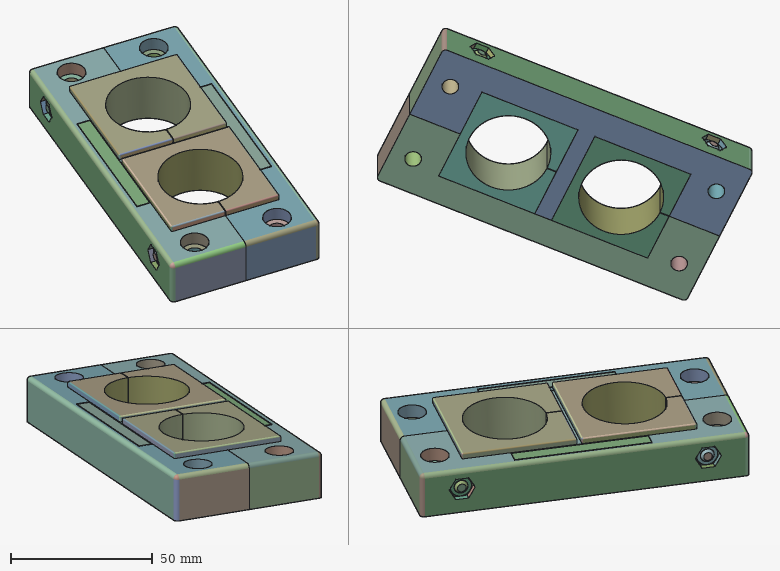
import cadquery as cq
import math

frame_length = 120.0
frame_width = 58.0
frame_height = 16.9
frame_round = 1.5

total_height = 19.0
grommet_offset = 21.8
grommet_body = 37.2
flange_size = 42.0
flange_round = 0.5
bore_diameter = 30.0
slit_width = 0.2

mount_spacing_x = 103.0
mount_spacing_y = 32.0
mount_diameter = 5.9
counterbore_diameter = 10.1
counterbore_depth = 5.0

label_length = 50.0
label_width = 5.0
label_depth = 0.2
label_offset = 23.6

screw_offset = 44.9
screw_height = 9.5
screw_diameter = 5.0
screw_length = 43.2
screw_chamfer = 1.0
screw_inset = 0.6
nut_flats = 8.0
nut_thickness = 4.0
nut_face_diameter = 7.7
nut_cone_angle = 30
nut_inset = 1.8
pocket_flats = 8.2

front_face = -frame_width / 2
flange_thickness = total_height - frame_height
hex_corner_ratio = 2 / math.sqrt(3)
mirror_sides = (-1, 1)


def cylinder_along_y(diameter, length, x, start_y):
    """Cylinder that runs from start_y toward +Y at the screw height."""
    return (
        cq.Workplane("XZ", origin=(x, start_y, screw_height))
        .circle(diameter / 2)
        .extrude(-length)
    )


def hex_along_y(flats, length, x, start_y):
    """Hexagonal prism, flats up and down, that runs from start_y toward +Y."""
    return (
        cq.Workplane("XZ", origin=(x, start_y, screw_height))
        .polygon(6, flats * hex_corner_ratio)
        .extrude(-length)
    )


def make_frame_block():
    """Both frame halves as one block, with every hole and recess."""
    block = (
        cq.Workplane("XY")
        .box(frame_length, frame_width, frame_height, centered=(True, True, False))
        .edges("|Z or >Z")
        .fillet(frame_round)
    )
    openings = (
        cq.Workplane("XY")
        .pushPoints([(side * grommet_offset, 0) for side in mirror_sides])
        .rect(grommet_body, grommet_body)
        .extrude(frame_height)
    )
    labels = (
        cq.Workplane("XY", origin=(0, 0, frame_height - label_depth))
        .pushPoints([(0, side * label_offset) for side in mirror_sides])
        .rect(label_length, label_width)
        .extrude(label_depth)
    )
    block = (
        block.cut(openings)
        .cut(labels)
        .faces(">Z")
        .workplane(origin=(0, 0, frame_height))
        .rect(mount_spacing_x, mount_spacing_y, forConstruction=True)
        .vertices()
        .cboreHole(mount_diameter, counterbore_diameter, counterbore_depth)
    )
    for side in mirror_sides:
        x = side * screw_offset
        block = block.cut(hex_along_y(pocket_flats, nut_inset + nut_thickness, x, front_face))
        block = block.cut(cylinder_along_y(screw_diameter, screw_length + screw_inset, x, front_face))
    return block


def make_front_region():
    """Space of the front half: everything below Y = 0, and the divider between the grommets."""
    half = cq.Workplane("XY").box(
        frame_length, frame_width / 2, frame_height, centered=(True, False, False)
    ).translate((0, front_face, 0))
    divider_width = 2 * grommet_offset - grommet_body
    divider = cq.Workplane("XY").box(
        divider_width, grommet_body, frame_height, centered=(True, True, False)
    )
    return half.union(divider)


def make_grommet(x):
    """Square grommet with a bore, and a slit from the bore through its +X side."""
    body = cq.Workplane("XY").box(
        grommet_body, grommet_body, frame_height, centered=(True, True, False)
    )
    flange = (
        cq.Workplane("XY", origin=(0, 0, frame_height))
        .box(flange_size, flange_size, flange_thickness, centered=(True, True, False))
        .edges("|Z or >Z")
        .fillet(flange_round)
    )
    bore = cq.Workplane("XY").circle(bore_diameter / 2).extrude(total_height)
    slit = cq.Workplane("XY").box(
        flange_size, slit_width, total_height, centered=(False, True, False)
    )
    return body.union(flange).cut(bore).cut(slit).translate((x, 0, 0))


def make_screw(x):
    """Plain screw shank with a chamfered tip at the front."""
    return (
        cylinder_along_y(screw_diameter, screw_length, x, front_face + screw_inset)
        .faces("<Y")
        .chamfer(screw_chamfer)
    )


def make_nut(x):
    """Hexagonal nut at the bottom of its pocket, with its front corners turned to a cone."""
    nut = hex_along_y(nut_flats, nut_thickness, x, front_face + nut_inset)
    corner_diameter = nut_flats * hex_corner_ratio
    corner_cut = (corner_diameter - nut_face_diameter) / 2
    cone_depth = corner_cut * math.tan(math.radians(nut_cone_angle))
    turned = (
        cylinder_along_y(corner_diameter, nut_thickness, x, front_face + nut_inset)
        .faces("<Y")
        .chamfer(cone_depth, corner_cut)
    )
    return nut.intersect(turned).cut(cylinder_along_y(screw_diameter, frame_width, x, front_face))


frame_block = make_frame_block()
front_region = make_front_region()
front_half = frame_block.intersect(front_region)
rear_half = frame_block.cut(front_region)
grommets = [make_grommet(side * grommet_offset) for side in mirror_sides]
screws = [make_screw(side * screw_offset) for side in mirror_sides]
nuts = [make_nut(side * screw_offset) for side in mirror_sides]

bodies = [front_half, rear_half, *grommets, *screws, *nuts]
result = cq.Compound.makeCompound([body.val() for body in bodies])